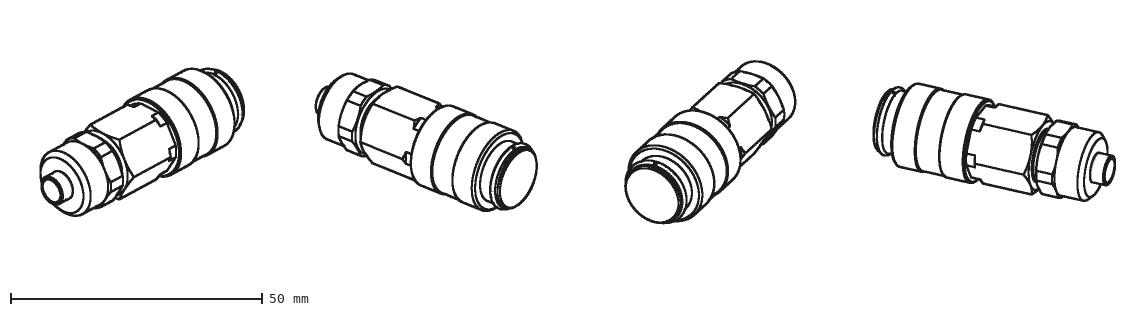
import cadquery as cq
import math


TUBE_RADIUS = 3.0
TUBE_COLLAR_RADIUS = 3.05
TUBE_COLLAR_START = 2.65
TUBE_TIP_CHAMFER = 0.15
BORE_RADIUS = 2.45
BORE_DEPTH = 4.85

ACROSS_FLATS = 14.0
APOTHEM = ACROSS_FLATS / 2
HEX_CORNER_RADIUS = APOTHEM / math.cos(math.pi / 6)
CONE_SLOPE = math.tan(math.pi / 6)

NUT_REAR = 2.95
NUT_CHAMFER = 1.0
NUT_HEX_REAR = 8.9
NUT_HEX_FRONT = 13.0
NUT_TURNED_RADIUS = 7.5
NUT_REAR_FACE_RADIUS = 7.05
NUT_FRONT_FACE_RADIUS = 6.9

NECK_RADIUS = 5.25
NECK_STEP = 0.25

BODY_REAR = 14.5
BODY_TURNED_RADIUS = 7.4
BODY_SHOULDER = 26.0

SLEEVE_REAR = 27.85
SLEEVE_FRONT = 43.8
SLEEVE_DIAMETER = 17.0
SLEEVE_RADIUS = SLEEVE_DIAMETER / 2
SLEEVE_REAR_CHAMFER = 0.3
SLEEVE_FRONT_CHAMFER = 0.5
GRIP_REAR = 33.13
GRIP_FRONT = 38.5
GRIP_DEPTH = 0.2
GRIP_EDGE = 0.2

FRONT_END = 48.5
SPIGOT_RADIUS = 6.4
SPIGOT_CHAMFER = 0.35
RING_CENTRE = 47.0
RING_WIRE_DIAMETER = 1.1
RING_WIRE_RADIUS = RING_WIRE_DIAMETER / 2
RING_GAP = 0.45


def revolved(points):
    """Solid of revolution about Y from an outline of (radius, station) points."""
    return cq.Workplane("XY").polyline(points).close().revolve(360, (0, 0, 0), (0, 1, 0))


def cylinder(radius, start, end):
    return revolved([(0, start), (radius, start), (radius, end), (0, end)])


def hex_prism(start, end):
    """Hexagonal bar along Y with flats facing +Z and -Z."""
    bar = cq.Workplane("XZ").polygon(6, 2 * HEX_CORNER_RADIUS).extrude(start - end)
    return bar.translate((0, start, 0))


def make_tube():
    return revolved([
        (0, 0),
        (TUBE_RADIUS - TUBE_TIP_CHAMFER, 0),
        (TUBE_RADIUS, TUBE_TIP_CHAMFER),
        (TUBE_RADIUS, TUBE_COLLAR_START),
        (TUBE_COLLAR_RADIUS, NUT_REAR),
        (0, NUT_REAR),
    ])


def make_nut():
    """Nut barrel with a hexagon turned down at its corners and chamfered on both faces."""
    barrel = revolved([
        (0, NUT_REAR),
        (APOTHEM - NUT_CHAMFER, NUT_REAR),
        (APOTHEM, NUT_REAR + NUT_CHAMFER),
        (APOTHEM, NUT_HEX_REAR),
        (0, NUT_HEX_REAR),
    ])
    rear_cone = (NUT_TURNED_RADIUS - NUT_REAR_FACE_RADIUS) * CONE_SLOPE
    front_cone = (NUT_TURNED_RADIUS - NUT_FRONT_FACE_RADIUS) * CONE_SLOPE
    turned = revolved([
        (0, NUT_HEX_REAR),
        (NUT_REAR_FACE_RADIUS, NUT_HEX_REAR),
        (NUT_TURNED_RADIUS, NUT_HEX_REAR + rear_cone),
        (NUT_TURNED_RADIUS, NUT_HEX_FRONT - front_cone),
        (NUT_FRONT_FACE_RADIUS, NUT_HEX_FRONT),
        (0, NUT_HEX_FRONT),
    ])
    return barrel.union(hex_prism(NUT_HEX_REAR, NUT_HEX_FRONT).intersect(turned))


def make_neck():
    return revolved([
        (0, NUT_HEX_FRONT),
        (NECK_RADIUS, NUT_HEX_FRONT),
        (NECK_RADIUS, BODY_REAR - NECK_STEP),
        (NECK_RADIUS + NECK_STEP, BODY_REAR),
        (0, BODY_REAR),
    ])


def make_hex_body():
    """Hexagon with a conical rear face, turned down ahead of a conical shoulder."""
    rear_cone = (HEX_CORNER_RADIUS - APOTHEM) * CONE_SLOPE
    shoulder_cone = (HEX_CORNER_RADIUS - BODY_TURNED_RADIUS) * CONE_SLOPE
    turned = revolved([
        (0, BODY_REAR),
        (APOTHEM, BODY_REAR),
        (HEX_CORNER_RADIUS, BODY_REAR + rear_cone),
        (HEX_CORNER_RADIUS, BODY_SHOULDER - shoulder_cone),
        (BODY_TURNED_RADIUS, BODY_SHOULDER),
        (BODY_TURNED_RADIUS, SLEEVE_REAR),
        (0, SLEEVE_REAR),
    ])
    return hex_prism(BODY_REAR, SLEEVE_REAR).intersect(turned)


def make_sleeve():
    grip_radius = SLEEVE_RADIUS - GRIP_DEPTH
    return revolved([
        (0, SLEEVE_REAR),
        (SLEEVE_RADIUS - SLEEVE_REAR_CHAMFER, SLEEVE_REAR),
        (SLEEVE_RADIUS, SLEEVE_REAR + SLEEVE_REAR_CHAMFER),
        (SLEEVE_RADIUS, GRIP_REAR),
        (grip_radius, GRIP_REAR + GRIP_EDGE),
        (grip_radius, GRIP_FRONT - GRIP_EDGE),
        (SLEEVE_RADIUS, GRIP_FRONT),
        (SLEEVE_RADIUS, SLEEVE_FRONT - SLEEVE_FRONT_CHAMFER),
        (SLEEVE_RADIUS - SLEEVE_FRONT_CHAMFER, SLEEVE_FRONT),
        (0, SLEEVE_FRONT),
    ])


def make_spigot():
    return revolved([
        (0, SLEEVE_FRONT),
        (SPIGOT_RADIUS, SLEEVE_FRONT),
        (SPIGOT_RADIUS, FRONT_END - SPIGOT_CHAMFER),
        (SPIGOT_RADIUS - SPIGOT_CHAMFER, FRONT_END),
        (0, FRONT_END),
    ])


def full_wire_ring():
    """Closed ring of round wire centred on the spigot surface."""
    wire = cq.Workplane("XY").center(SPIGOT_RADIUS, RING_CENTRE).circle(RING_WIRE_RADIUS)
    return wire.revolve(360, (-SPIGOT_RADIUS, 0, 0), (-SPIGOT_RADIUS, 1, 0))


def make_coupling():
    """All coaxial sections of the coupling, with the bore and the snap ring groove cut."""
    coupling = make_tube()
    for section in (make_nut(), make_neck(), make_hex_body(), make_sleeve(), make_spigot()):
        coupling = coupling.union(section)
    return coupling.cut(cylinder(BORE_RADIUS, 0, BORE_DEPTH)).cut(full_wire_ring())


def make_snap_ring():
    """Wire ring split by a narrow gap at the top."""
    gap = cq.Workplane("XY").box(RING_GAP, 2 * RING_WIRE_DIAMETER, 2 * SPIGOT_RADIUS)
    return full_wire_ring().cut(gap.translate((0, RING_CENTRE, SPIGOT_RADIUS)))


coupling = make_coupling()
snap_ring = make_snap_ring()
result = cq.Compound.makeCompound([coupling.val(), snap_ring.val()])